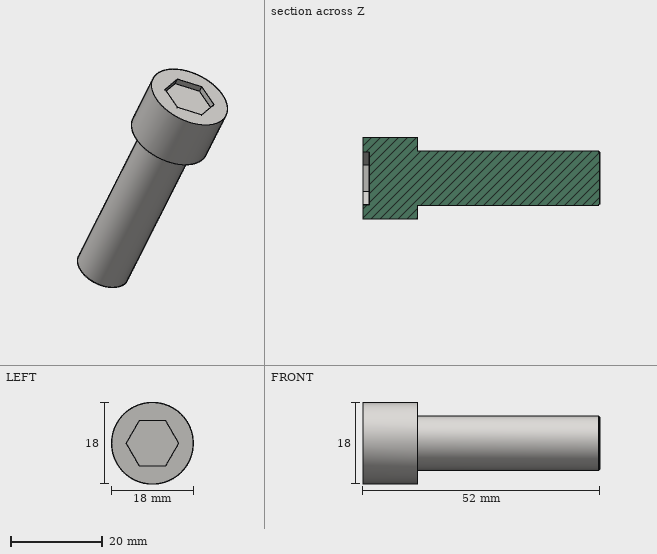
import cadquery as cq
import math

total_length = 52.0
shank_diameter = 12.0
head_diameter = 18.0
head_height = shank_diameter
tip_chamfer = 0.3
socket_across_flats = 10.0
socket_depth = 1.35

head_face_x = -total_length / 2
socket_across_corners = socket_across_flats / math.cos(math.radians(30))

head_plane = cq.Plane(origin=(head_face_x, 0, 0), xDir=(0, 1, 0), normal=(1, 0, 0))

head = cq.Workplane(head_plane).circle(head_diameter / 2).extrude(head_height)

shank = (
    cq.Workplane(head_plane)
    .circle(shank_diameter / 2)
    .extrude(total_length)
    .faces(">X")
    .chamfer(tip_chamfer)
)

socket = cq.Workplane(head_plane).polygon(6, socket_across_corners).extrude(socket_depth)

result = head.union(shank).cut(socket)